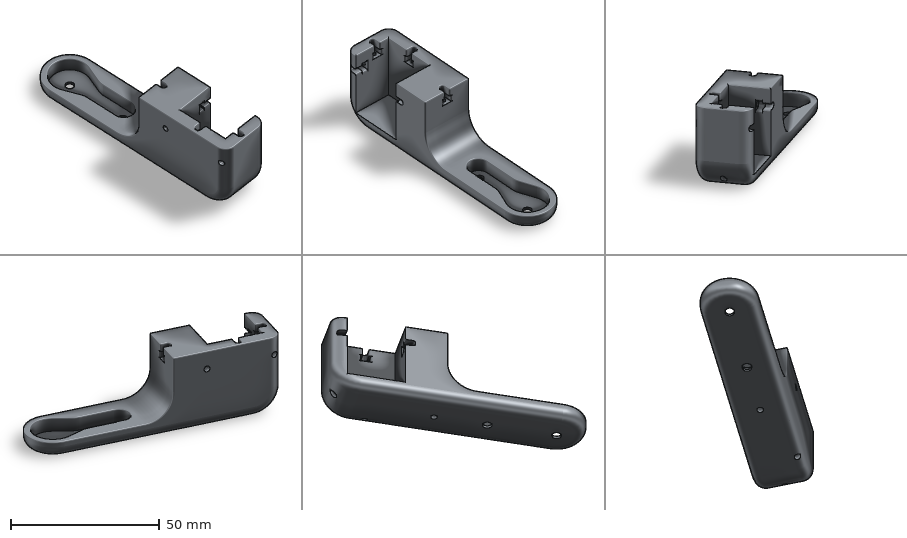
import cadquery as cq
import math

LENGTH = 90.0
WIDTH = 20.0
HEIGHT = 29.1
ARM_HEIGHT = 6.0
STEP_X = 50.0
CURVE_RADIUS = 10.0
EDGE_RADIUS = 4.0
SOFT_RADIUS = 0.5
HALF_WIDTH = WIDTH / 2

WALL = 5.0
POCKET_LENGTH = 20.2
POCKET_END_X = LENGTH - WALL
POCKET_START_X = POCKET_END_X - POCKET_LENGTH
POCKET_MID_X = POCKET_START_X + POCKET_LENGTH / 2
POCKET_SIDE_Y = -HALF_WIDTH + WALL

SCREW_DIAMETER = 2.2
NUT_WIDTH = 3.6
NUT_TOP = 3.0
NUT_HEIGHT = 2.5
SCREW_INSET = 2.4
SIDE_SCREW_DROP = 6.75

RECESS_DEPTH = 5.0
HEAD_X = HALF_WIDTH
HEAD_RADIUS = 7.5
NECK_END_X = 34.4
NECK_RADIUS = 4.0
NECK_START_X = 20.3
NECK_BLEND_RADIUS = 6.5
PIN_DIAMETER = 3.2
PIN_SPACING = 24.0


def make_body():
    """Arm and block with a round tip, a soft underside and a soft far end."""
    profile = (
        cq.Workplane("XZ")
        .moveTo(0, 0)
        .lineTo(LENGTH - CURVE_RADIUS, 0)
        .radiusArc((LENGTH, CURVE_RADIUS), -CURVE_RADIUS)
        .lineTo(LENGTH, HEIGHT)
        .lineTo(STEP_X, HEIGHT)
        .lineTo(STEP_X, ARM_HEIGHT + CURVE_RADIUS)
        .radiusArc((STEP_X - CURVE_RADIUS, ARM_HEIGHT), CURVE_RADIUS)
        .lineTo(0, ARM_HEIGHT)
        .close()
        .extrude(HALF_WIDTH, both=True)
    )
    plan = (
        cq.Workplane("XY")
        .moveTo(LENGTH, -HALF_WIDTH)
        .lineTo(HALF_WIDTH, -HALF_WIDTH)
        .threePointArc((0, 0), (HALF_WIDTH, HALF_WIDTH))
        .lineTo(LENGTH, HALF_WIDTH)
        .close()
        .extrude(HEIGHT)
    )
    body = profile.intersect(plan)
    return body.faces("<Z").edges("|X").fillet(EDGE_RADIUS)


def make_pocket():
    """Pocket open at the top and through the +Y side."""
    block = cq.Workplane("XY").box(POCKET_LENGTH, WIDTH, HEIGHT, centered=False)
    return block.translate((POCKET_START_X, POCKET_SIDE_Y, WALL))


def slot(width, depth):
    """Slot along -Z with a round end on the screw axis, opening toward -X."""
    half = width / 2
    return (
        cq.Workplane("XY")
        .moveTo(-SCREW_INSET, -half)
        .lineTo(0, -half)
        .threePointArc((half, 0), (0, half))
        .lineTo(-SCREW_INSET, half)
        .close()
        .extrude(-depth)
    )


def make_screw_cut():
    """Screw hole along -Z from the origin, with its shank and nut slots."""
    shank = slot(SCREW_DIAMETER, NUT_TOP)
    nut = slot(NUT_WIDTH, NUT_HEIGHT).translate((0, 0, -NUT_TOP))
    hole = cq.Workplane("XY").circle(SCREW_DIAMETER / 2).extrude(-HEIGHT)
    return shank.union(nut).union(hole)


def cut_screws(body):
    """Cut three upright screws and two cross screws into the block."""
    z_axis = ((0, 0, 0), (0, 0, 1))
    x_axis = ((0, 0, 0), (1, 0, 0))
    screw = make_screw_cut()

    upright_places = [
        (STEP_X + SCREW_INSET, 0, 0),
        (POCKET_END_X + SCREW_INSET, 0, 0),
        (POCKET_MID_X, POCKET_SIDE_Y - SCREW_INSET, -90),
    ]
    for x, y, turn in upright_places:
        body = body.cut(screw.rotate(*z_axis, turn).translate((x, y, HEIGHT)))

    cross_places = [
        (POCKET_START_X - SCREW_INSET, 180),
        (POCKET_END_X + SCREW_INSET, 0),
    ]
    for x, turn in cross_places:
        turned = screw.rotate(*z_axis, turn).rotate(*x_axis, -90)
        body = body.cut(turned.translate((x, HALF_WIDTH, HEIGHT - SIDE_SCREW_DROP)))
    return body


def mouth_box(x, y, z):
    """Box around a slot mouth, wide enough for the nut slot but short of the screw axis."""
    reach = (NUT_WIDTH / 2 + SCREW_INSET) / 2
    return cq.selectors.BoxSelector(
        (x - reach, y - reach, z - reach), (x + reach, y + reach, z + reach)
    )


def soften_upper_edges(body):
    """Round the top face, the slot mouths and the edges running down to the arm tip."""
    edges = body.faces(">Z").edges()
    edges = edges.add(body.faces("-X").faces("<X").edges("|Z"))
    upright_mouths = [(POCKET_END_X, 0), (POCKET_MID_X, POCKET_SIDE_Y)]
    for x, y in upright_mouths:
        edges = edges.add(body.edges("|Z").edges(mouth_box(x, y, HEIGHT - NUT_TOP)))
    for x in (POCKET_START_X, POCKET_END_X):
        box = mouth_box(x, HALF_WIDTH - NUT_TOP, HEIGHT - SIDE_SCREW_DROP)
        edges = edges.add(body.edges("|Y").edges(box))
    return edges.fillet(SOFT_RADIUS)


def make_recess():
    """Key-shaped recess with two pin holes through its floor."""
    run = NECK_START_X - HEAD_X
    corner_distance = math.hypot(run, NECK_RADIUS)
    tangent_angle = math.atan2(NECK_RADIUS, run) + math.acos(HEAD_RADIUS / corner_distance)
    tangent_x = HEAD_X + HEAD_RADIUS * math.cos(tangent_angle)
    tangent_y = HEAD_RADIUS * math.sin(tangent_angle)
    floor_z = ARM_HEIGHT - RECESS_DEPTH
    recess = (
        cq.Workplane("XY", origin=(0, 0, floor_z))
        .moveTo(tangent_x, -tangent_y)
        .lineTo(NECK_START_X, -NECK_RADIUS)
        .lineTo(NECK_END_X, -NECK_RADIUS)
        .threePointArc((NECK_END_X + NECK_RADIUS, 0), (NECK_END_X, NECK_RADIUS))
        .lineTo(NECK_START_X, NECK_RADIUS)
        .lineTo(tangent_x, tangent_y)
        .threePointArc((HEAD_X - HEAD_RADIUS, 0), (tangent_x, -tangent_y))
        .close()
        .extrude(RECESS_DEPTH)
    )
    for y in (-NECK_RADIUS, NECK_RADIUS):
        corner = cq.selectors.NearestToPointSelector((NECK_START_X, y, ARM_HEIGHT / 2))
        recess = recess.edges("|Z").edges(corner).fillet(NECK_BLEND_RADIUS)
    pins = (
        cq.Workplane("XY")
        .pushPoints([(HEAD_X, 0), (HEAD_X + PIN_SPACING, 0)])
        .circle(PIN_DIAMETER / 2)
        .extrude(ARM_HEIGHT)
    )
    return recess.union(pins)


def soften_recess_rim(body):
    """Round the upper edge of the recess."""
    arm_top = body.faces("+Z").faces(cq.selectors.CenterNthSelector(cq.Vector(0, 0, 1), -2))
    return arm_top.wires(cq.selectors.LengthNthSelector(0)).edges().fillet(SOFT_RADIUS)


body = make_body().cut(make_recess())
body = soften_recess_rim(body)
body = body.cut(make_pocket())
body = cut_screws(body)
result = soften_upper_edges(body)